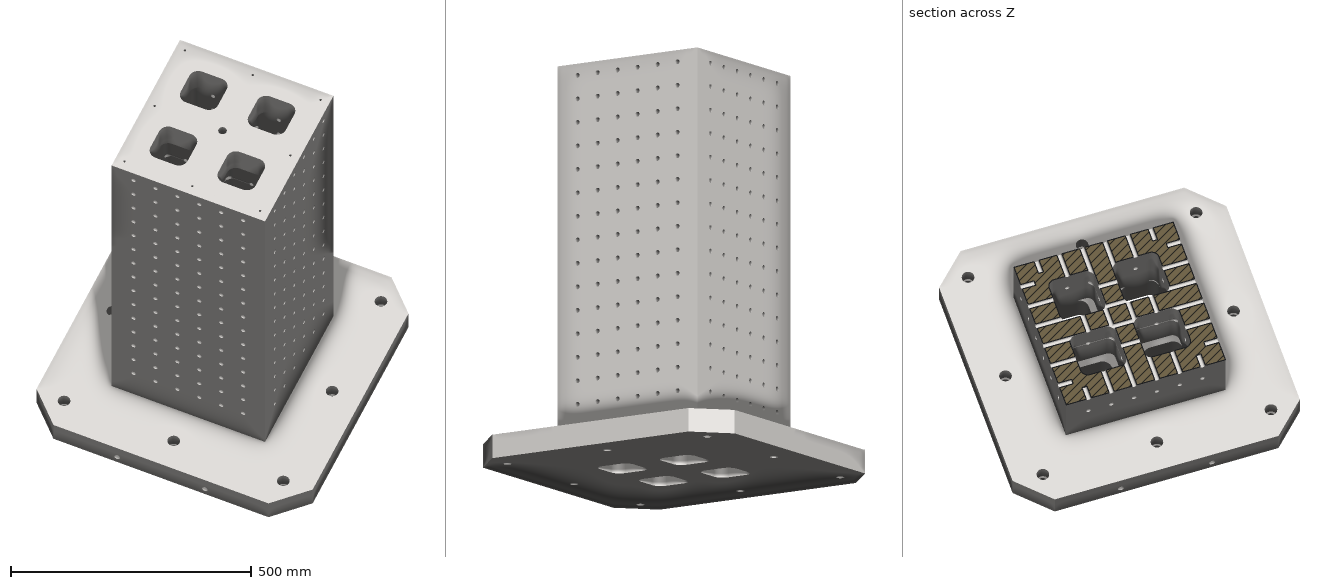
import cadquery as cq
import math

TOTAL_HEIGHT = 850.0
PITCHES_IN_HEIGHT = 17
PITCH = TOTAL_HEIGHT / PITCHES_IN_HEIGHT
MID_HEIGHT = TOTAL_HEIGHT / 2

BASE_WIDTH = 630.0
BASE_THICKNESS = PITCH
BASE_CORNER_CHAMFER = 70.0
BOLT_OFFSET = 5 * PITCH
BOLT_HOLE_DIAMETER = 18.0
COUNTERBORE_DIAMETER = 26.0
COUNTERBORE_DEPTH = 30.0
EDGE_HOLE_OFFSET = 2 * PITCH
EDGE_HOLE_HEIGHT = 18.0
EDGE_HOLE_DIAMETER = 14.0
EDGE_HOLE_DEPTH = 30.0

TOWER_WIDTH = 7 * PITCH
WINDOW_WIDTH = 85.0
WINDOW_OFFSET = 77.0
WINDOW_RADIUS = 20.0
END_PLATE_THICKNESS = 60.0
WEB_THICKNESS = 41.0
WELL_OUTER_OFFSET = WINDOW_OFFSET + WINDOW_WIDTH / 2
WELL_WIDTH = WELL_OUTER_OFFSET - WEB_THICKNESS / 2
WELL_OFFSET = WELL_OUTER_OFFSET - WELL_WIDTH / 2
WELL_HEIGHT = TOTAL_HEIGHT - 2 * END_PLATE_THICKNESS
WELL_RADIUS = 15.0
HUB_DIAMETER = 119.0
HUB_HEIGHT = 2 * PITCH

GRID_COLUMN_COUNT = 6
GRID_ROW_COUNT = 15
GRID_HOLE_DIAMETER = 10.0
BLIND_HOLE_DEPTH = 30.0
TOP_ROW_HEIGHT = TOTAL_HEIGHT - PITCH / 2
BLIND_ROWS = (0, GRID_ROW_COUNT // 2 + 1)
BLIND_COLUMNS = (0, GRID_COLUMN_COUNT - 1)

PIN_HOLE_OFFSET = 155.0
PIN_HOLE_DIAMETER = 5.0
PIN_HOLE_DEPTH = 10.0
LIFTING_HOLE_DIAMETER = 18.0
LIFTING_HOLE_DEPTH = 30.0
DRILL_POINT_ANGLE = 118.0


def square_corners(offset):
    """Corners of a square centred on the tower axis."""
    return [(x, y) for x in (-offset, offset) for y in (-offset, offset)]


def square_corners_and_midpoints(offset):
    """Corners and side midpoints of a square centred on the tower axis."""
    side_midpoints = [(-offset, 0), (offset, 0), (0, -offset), (0, offset)]
    return square_corners(offset) + side_midpoints


def drilled_hole(diameter, depth):
    """Blind hole that opens at the origin and runs down to a conical point."""
    radius = diameter / 2
    point_depth = radius / math.tan(math.radians(DRILL_POINT_ANGLE / 2))
    profile = [(0, 0), (radius, 0), (radius, -depth), (0, -depth - point_depth)]
    return cq.Workplane("XZ").polyline(profile).close().revolve(360, (0, 0, 0), (0, 1, 0))


def outer_body():
    """Square base plate with cut corners, carrying a square tower."""
    base = (
        cq.Workplane("XY")
        .box(BASE_WIDTH, BASE_WIDTH, BASE_THICKNESS, centered=(True, True, False))
        .edges("|Z")
        .chamfer(BASE_CORNER_CHAMFER)
    )
    tower = cq.Workplane("XY").box(TOWER_WIDTH, TOWER_WIDTH, TOTAL_HEIGHT, centered=(True, True, False))
    return base.union(tower)


def square_shafts(offset, width, height, corner_radius):
    """Four upright square shafts around the axis, centred at mid height."""
    return (
        cq.Workplane("XY", origin=(0, 0, MID_HEIGHT - height / 2))
        .pushPoints(square_corners(offset))
        .rect(width, width)
        .extrude(height)
        .edges("|Z")
        .fillet(corner_radius)
    )


def grid_hole(column, row, depth):
    """One hole of the grid, drilled from the -Y side of the tower."""
    x = (column - (GRID_COLUMN_COUNT - 1) / 2) * PITCH
    z = TOP_ROW_HEIGHT - row * PITCH
    mouth = cq.Vector(x, -TOWER_WIDTH / 2, z)
    return cq.Solid.makeCylinder(GRID_HOLE_DIAMETER / 2, depth, mouth, cq.Vector(0, 1, 0))


def grid_holes():
    """Holes of all four sides: blind in solid stock, elsewhere right through wells and webs."""
    holes = []
    for row in range(GRID_ROW_COUNT):
        for column in range(GRID_COLUMN_COUNT):
            is_blind = row in BLIND_ROWS or column in BLIND_COLUMNS
            hole = grid_hole(column, row, BLIND_HOLE_DEPTH if is_blind else TOWER_WIDTH)
            turns = (0, 90, 180, 270) if is_blind else (0, 90)
            for turn in turns:
                holes.append(hole.rotate(cq.Vector(0, 0, 0), cq.Vector(0, 0, 1), turn))
    return holes


def hub():
    """Solid round core that closes the middle through holes at the webs' crossing."""
    bottom = cq.Workplane("XY", origin=(0, 0, MID_HEIGHT - HUB_HEIGHT / 2))
    return bottom.circle(HUB_DIAMETER / 2).extrude(HUB_HEIGHT)


def cut_base_holes(body):
    """Counterbored bolt holes in the base, and two drilled holes in its -Y edge."""
    bolts = cq.Workplane("XY", origin=(0, 0, BASE_THICKNESS))
    bolts = bolts.pushPoints(square_corners_and_midpoints(BOLT_OFFSET))
    body = body.cut(bolts.circle(BOLT_HOLE_DIAMETER / 2).extrude(-BASE_THICKNESS))
    body = body.cut(bolts.circle(COUNTERBORE_DIAMETER / 2).extrude(-COUNTERBORE_DEPTH))
    edge_hole = drilled_hole(EDGE_HOLE_DIAMETER, EDGE_HOLE_DEPTH).rotate((0, 0, 0), (1, 0, 0), 90)
    for x in (-EDGE_HOLE_OFFSET, EDGE_HOLE_OFFSET):
        body = body.cut(edge_hole.translate((x, -BASE_WIDTH / 2, EDGE_HOLE_HEIGHT)))
    return body


def cut_top_holes(body):
    """Eight pin holes and a central lifting hole in the top of the tower."""
    pins = cq.Workplane("XY", origin=(0, 0, TOTAL_HEIGHT))
    pins = pins.pushPoints(square_corners_and_midpoints(PIN_HOLE_OFFSET))
    body = body.cut(pins.circle(PIN_HOLE_DIAMETER / 2).extrude(-PIN_HOLE_DEPTH))
    lifting_hole = drilled_hole(LIFTING_HOLE_DIAMETER, LIFTING_HOLE_DEPTH)
    return body.cut(lifting_hole.translate((0, 0, TOTAL_HEIGHT)))


body = outer_body()
body = body.cut(square_shafts(WELL_OFFSET, WELL_WIDTH, WELL_HEIGHT, WELL_RADIUS))
body = body.cut(square_shafts(WINDOW_OFFSET, WINDOW_WIDTH, TOTAL_HEIGHT, WINDOW_RADIUS))
body = cut_base_holes(body)
body = cut_top_holes(body)
body = cq.Workplane("XY").add(body.val().cut(*grid_holes()))
result = body.union(hub()).solids()